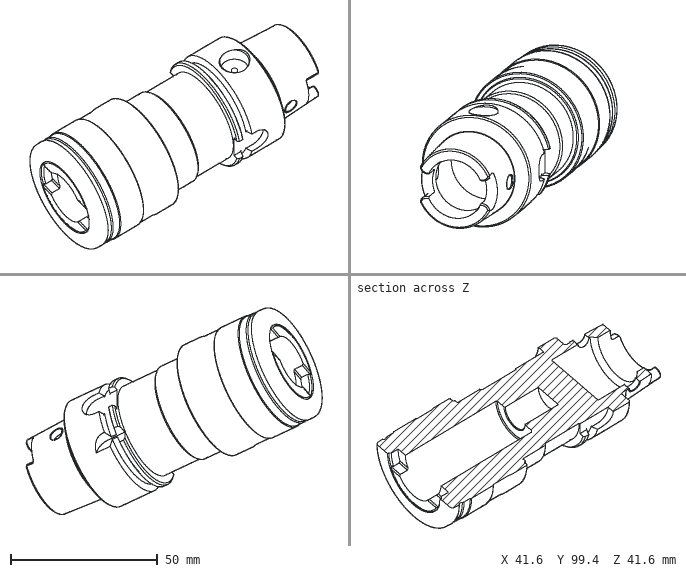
import cadquery as cq

LENGTH = 99.4

SLEEVE_R = 20.8
RELIEF_R = 20.5
NOSE_FACE_R = 19.2
NOSE_RIM_R = 20.4
NOSE_ROUND_Y = 0.9
RIDGE_LINE_Y = 2.6
GROOVE_LIP_Y = 3.2
GROOVE_LIP_R = 20.3
RING_GROOVE_R = 20.0
RING_GROOVE_BACK_Y = 4.7
FRONT_RELIEF_Y = 5.3
GRIP_FRONT_Y = 8.1
GRIP_BACK_Y = 18.0
GRIP_CHAMFER = 0.3
REAR_GRIP_START_Y = 25.0
REAR_GRIP_FULL_Y = 26.2
SLEEVE_BACK_Y = 33.3
SLEEVE_BACK_CHAMFER = 0.4
SHOULDER_FRONT_R = 19.1
SHOULDER_BACK_R = 18.8
SHOULDER_BACK_Y = 34.0

WIDE_NECK_R = 17.5
WIDE_NECK_BACK_Y = 43.8
NECK_FRONT_Y = 44.5
NECK_R = 16.8

FLANGE_R = 20.0
FLANGE_FRONT_Y = 59.4
FLANGE_BACK_Y = 79.6
FLANGE_CHAMFER = 0.6
GROOVE_R = 17.7
GROOVE_FLANK = 0.9
GROOVE_FRONT_Y = 62.4
GROOVE_BACK_Y = 64.5

SHANK_NECK_R = 14.9
SHANK_NECK_ROUND = 0.8
TAPER_FRONT_Y = 81.7
TAPER_LARGE_R = 15.1
TAPER_SMALL_R = 14.2
SHANK_CHAMFER = 0.6
SHANK_MOUTH_R = 10.4
SHANK_MOUTH_DEPTH = 8.9
SHANK_CAVITY_R = 12.3
SHANK_BORE_DEPTH = 27.8

SOCKET_R = 9.4
SOCKET_DEPTH = 44.7
SOCKET_CORNER_BEVEL = 0.4
PILOT_R = 5.3
PILOT_BEVEL = 0.3
PILOT_DEPTH = 14.9

FACE_GROOVE_R = 13.9
FACE_GROOVE_SIZE = 0.6
DRIVE_SLOT_END_R = FACE_GROOVE_R - FACE_GROOVE_SIZE
DRIVE_SLOT_HALF = 5.5
DRIVE_SLOT_DEPTH = 4.2
DRIVE_SLOT_BEVEL = 0.5

NOTCH_HALF = 4.1
NOTCH_MOUTH_HALF = 6.6
NOTCH_MOUTH_X = 12.7
SHALLOW_NOTCH_DEPTH = 3.5
DEEP_NOTCH_DEPTH = 6.0
NOTCH_FLOOR_FILLET = 0.6
NOTCH_BEVEL = 0.5

CROSS_HOLE_R = 2.4
CROSS_HOLE_MOUTH_R = 2.8
CROSS_HOLE_Y = 85.6

KEYWAY_R = 4.7
KEYWAY_END_Y = 71.9
KEYWAY_FLOOR_X = 17.2
INDEX_R = 5.1
INDEX_END_Y = 71.2
INDEX_TOP_Z = -12.0
INDEX_WALL_X = -12.3

POCKET_R = 5.0
POCKET_MOUTH_R = 5.5
POCKET_Y = 72.7
POCKET_FLOOR_Z = 14.5
POCKET_DIMPLE_R = 1.1
POCKET_DIMPLE_DEPTH = 1.0

CLEAR = 24.85


def turned_body():
    """Solid of revolution holding every outer diameter, drawn as (radius, Y)."""
    ring_groove_mid = (RING_GROOVE_R, (GROOVE_LIP_Y + RING_GROOVE_BACK_Y) / 2)
    neck_corner = SHANK_NECK_R + SHANK_NECK_ROUND
    profile = (
        cq.Workplane("XY")
        .lineTo(NOSE_FACE_R, 0)
        .tangentArcPoint((NOSE_RIM_R, NOSE_ROUND_Y), relative=False)
        .lineTo(RELIEF_R, RIDGE_LINE_Y)
        .lineTo(RELIEF_R, GROOVE_LIP_Y)
        .threePointArc(ring_groove_mid, (GROOVE_LIP_R, RING_GROOVE_BACK_Y))
        .lineTo(RELIEF_R, FRONT_RELIEF_Y)
        .lineTo(RELIEF_R, GRIP_FRONT_Y)
        .lineTo(SLEEVE_R, GRIP_FRONT_Y + GRIP_CHAMFER)
        .lineTo(SLEEVE_R, GRIP_BACK_Y)
        .lineTo(RELIEF_R, GRIP_BACK_Y + GRIP_CHAMFER)
        .lineTo(RELIEF_R, REAR_GRIP_START_Y)
        .lineTo(SLEEVE_R, REAR_GRIP_FULL_Y)
        .lineTo(SLEEVE_R, SLEEVE_BACK_Y - SLEEVE_BACK_CHAMFER)
        .lineTo(SLEEVE_R - SLEEVE_BACK_CHAMFER, SLEEVE_BACK_Y)
        .lineTo(SHOULDER_FRONT_R, SLEEVE_BACK_Y)
        .lineTo(SHOULDER_BACK_R, SHOULDER_BACK_Y)
        .lineTo(WIDE_NECK_R, SHOULDER_BACK_Y)
        .lineTo(WIDE_NECK_R, WIDE_NECK_BACK_Y)
        .lineTo(NECK_R, NECK_FRONT_Y)
        .lineTo(NECK_R, FLANGE_FRONT_Y)
        .lineTo(FLANGE_R - FLANGE_CHAMFER, FLANGE_FRONT_Y)
        .lineTo(FLANGE_R, FLANGE_FRONT_Y + FLANGE_CHAMFER)
        .lineTo(FLANGE_R, GROOVE_FRONT_Y - GROOVE_FLANK)
        .lineTo(GROOVE_R, GROOVE_FRONT_Y)
        .lineTo(GROOVE_R, GROOVE_BACK_Y)
        .lineTo(FLANGE_R, GROOVE_BACK_Y + GROOVE_FLANK)
        .lineTo(FLANGE_R, FLANGE_BACK_Y - FLANGE_CHAMFER)
        .lineTo(FLANGE_R - FLANGE_CHAMFER, FLANGE_BACK_Y)
        .lineTo(neck_corner, FLANGE_BACK_Y)
        .radiusArc((SHANK_NECK_R, FLANGE_BACK_Y + SHANK_NECK_ROUND), SHANK_NECK_ROUND)
        .lineTo(SHANK_NECK_R, TAPER_FRONT_Y)
        .lineTo(TAPER_LARGE_R, TAPER_FRONT_Y)
        .lineTo(TAPER_SMALL_R, LENGTH - SHANK_CHAMFER)
        .lineTo(TAPER_SMALL_R - SHANK_CHAMFER, LENGTH)
        .lineTo(0, LENGTH)
        .close()
    )
    return profile.revolve(360, (0, 0, 0), (0, 1, 0))


def revolve_outline(points):
    """Revolve a closed outline of (radius, Y) points about the Y axis."""
    return cq.Workplane("XY").polyline(points).close().revolve(360, (0, 0, 0), (0, 1, 0))


def tool_socket():
    """Stepped bore entering from the nose."""
    pilot_end = SOCKET_DEPTH + PILOT_DEPTH
    return revolve_outline(
        [
            (0, 0),
            (SOCKET_R, 0),
            (SOCKET_R, SOCKET_DEPTH - SOCKET_CORNER_BEVEL),
            (SOCKET_R - SOCKET_CORNER_BEVEL, SOCKET_DEPTH),
            (PILOT_R + PILOT_BEVEL, SOCKET_DEPTH),
            (PILOT_R, SOCKET_DEPTH + PILOT_BEVEL),
            (PILOT_R, pilot_end),
            (0, pilot_end),
        ]
    )


def shank_bore():
    """Bore of the hollow shank, widening through a conical clamping shoulder."""
    shoulder_start = LENGTH - SHANK_MOUTH_DEPTH
    shoulder_end = shoulder_start - (SHANK_CAVITY_R - SHANK_MOUTH_R)
    bottom = LENGTH - SHANK_BORE_DEPTH
    return revolve_outline(
        [
            (0, LENGTH),
            (SHANK_MOUTH_R, LENGTH),
            (SHANK_MOUTH_R, shoulder_start),
            (SHANK_CAVITY_R, shoulder_end),
            (SHANK_CAVITY_R, bottom),
            (0, bottom),
        ]
    )


def face_groove():
    """V-groove in the nose face with a straight outer wall and a sloping inner wall."""
    return revolve_outline(
        [
            (FACE_GROOVE_R - FACE_GROOVE_SIZE, 0),
            (FACE_GROOVE_R, 0),
            (FACE_GROOVE_R, FACE_GROOVE_SIZE),
        ]
    )


def drive_slot():
    """Crosswise slot in the nose face, bevelled at its mouth, floor and rounded ends."""
    mouth_half = DRIVE_SLOT_HALF + DRIVE_SLOT_BEVEL
    floor_half = DRIVE_SLOT_HALF - DRIVE_SLOT_BEVEL
    upper_outline = [
        (0, mouth_half),
        (DRIVE_SLOT_BEVEL, DRIVE_SLOT_HALF),
        (DRIVE_SLOT_DEPTH - DRIVE_SLOT_BEVEL, DRIVE_SLOT_HALF),
        (DRIVE_SLOT_DEPTH, floor_half),
    ]
    lower_outline = [(y, -z) for y, z in reversed(upper_outline)]
    bar = (
        cq.Workplane("YZ")
        .polyline(upper_outline + lower_outline)
        .close()
        .extrude(FACE_GROOVE_R, both=True)
    )
    round_ends = revolve_outline(
        [
            (0, 0),
            (FACE_GROOVE_R, 0),
            (FACE_GROOVE_R, FACE_GROOVE_SIZE),
            (DRIVE_SLOT_END_R, 2 * FACE_GROOVE_SIZE),
            (DRIVE_SLOT_END_R, DRIVE_SLOT_DEPTH),
            (0, DRIVE_SLOT_DEPTH),
        ]
    )
    return bar.intersect(round_ends)


def notch_outline(side):
    """Notch section across the part axis, its sides flaring outward in a convex round."""
    flare = NOTCH_MOUTH_HALF - NOTCH_HALF
    throat_x = NOTCH_MOUTH_X - flare
    return (
        cq.Workplane("XZ", origin=(0, LENGTH, 0))
        .moveTo(0, -NOTCH_HALF)
        .lineTo(side * throat_x, -NOTCH_HALF)
        .radiusArc((side * NOTCH_MOUTH_X, -NOTCH_MOUTH_HALF), side * flare)
        .lineTo(side * CLEAR, -NOTCH_MOUTH_HALF)
        .lineTo(side * CLEAR, NOTCH_MOUTH_HALF)
        .lineTo(side * NOTCH_MOUTH_X, NOTCH_MOUTH_HALF)
        .radiusArc((side * throat_x, NOTCH_HALF), side * flare)
        .lineTo(0, NOTCH_HALF)
        .close()
    )


def drive_notch(side, depth):
    """Notch through one shank wall with filleted floor and bevelled mouth."""
    notch = notch_outline(side).extrude(depth).faces("<Y").edges().fillet(NOTCH_FLOOR_FILLET)
    mouth_bevel = notch_outline(side).offset2D(NOTCH_BEVEL).extrude(NOTCH_BEVEL, taper=45)
    return notch.union(mouth_bevel)


def cross_hole():
    """Hole through both shank walls, countersunk at each outer end."""
    hole = cq.Workplane("YZ").center(CROSS_HOLE_Y, 0).circle(CROSS_HOLE_R).extrude(CLEAR, both=True)
    sink_depth = CROSS_HOLE_MOUTH_R - CROSS_HOLE_R
    for side in (-1, 1):
        sink = cq.Solid.makeCone(
            CROSS_HOLE_MOUTH_R,
            CROSS_HOLE_R,
            sink_depth,
            pnt=cq.Vector(side * SHANK_NECK_R, CROSS_HOLE_Y, 0),
            dir=cq.Vector(-side, 0, 0),
        )
        hole = hole.union(cq.Workplane(sink))
    return hole


def round_ended_slot(side, floor_x, end_y, centre_z, radius):
    """Slot cut along X down to floor_x, open toward the nose and rounded at end_y."""
    arc_y = end_y - radius
    return (
        cq.Workplane("YZ", origin=(floor_x, 0, centre_z))
        .moveTo(FLANGE_FRONT_Y, -radius)
        .lineTo(arc_y, -radius)
        .threePointArc((end_y, 0), (arc_y, radius))
        .lineTo(FLANGE_FRONT_Y, radius)
        .close()
        .extrude(side * CLEAR)
    )


def flange_pocket():
    """Flat-bottomed round pocket with a countersunk mouth and a conical dimple in its floor."""
    pocket = (
        cq.Workplane("XY", origin=(0, POCKET_Y, POCKET_FLOOR_Z))
        .circle(POCKET_R)
        .extrude(FLANGE_R - POCKET_FLOOR_Z)
    )
    down = cq.Vector(0, 0, -1)
    mouth = cq.Vector(0, POCKET_Y, FLANGE_R)
    floor = cq.Vector(0, POCKET_Y, POCKET_FLOOR_Z)
    sink = cq.Solid.makeCone(POCKET_MOUTH_R, POCKET_R, POCKET_MOUTH_R - POCKET_R, mouth, down)
    dimple = cq.Solid.makeCone(POCKET_DIMPLE_R, 0, POCKET_DIMPLE_DEPTH, floor, down)
    return pocket.union(cq.Workplane(sink)).union(cq.Workplane(dimple))


result = turned_body()
for cutter in (tool_socket(), face_groove(), drive_slot(), shank_bore(), cross_hole()):
    result = result.cut(cutter)
result = result.cut(drive_notch(-1, SHALLOW_NOTCH_DEPTH)).cut(drive_notch(1, DEEP_NOTCH_DEPTH))
for side in (-1, 1):
    result = result.cut(round_ended_slot(side, side * KEYWAY_FLOOR_X, KEYWAY_END_Y, 0, KEYWAY_R))
index_centre_z = INDEX_TOP_Z - INDEX_R
result = result.cut(round_ended_slot(-1, INDEX_WALL_X, INDEX_END_Y, index_centre_z, INDEX_R))
result = result.cut(flange_pocket())